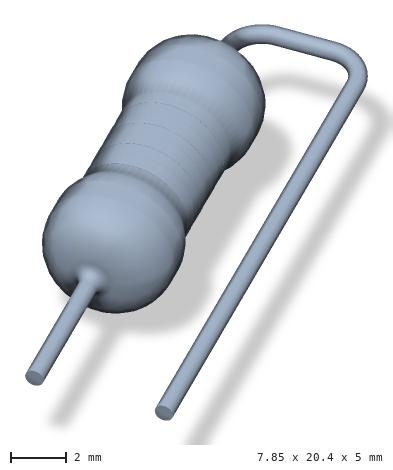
import cadquery as cq
import math


body_length = 12.0
bulge_radius = 2.5
waist_radius = 4.25 / 2
end_round = 1.75
bulge_land = 0.8
neck_length = 1.42

band_count = 4
band_radius = 4.27 / 2

lead_radius = 0.35
lead_pitch = 5.0
lead_fillet = 0.5
front_lead = 5.6
bend_radius = 1.4
bend_standoff = 1.0

half_length = body_length / 2
land_outer = half_length - end_round
land_inner = land_outer - bulge_land
waist_half = land_inner - neck_length
neck_drop = bulge_radius - waist_radius
neck_radius = (neck_length**2 + neck_drop**2) / (4 * neck_drop)
neck_middle_y = (land_inner + waist_half) / 2
neck_middle_radius = (bulge_radius + waist_radius) / 2
tip_y = -half_length - front_lead
bend_start_y = half_length + bend_standoff

round_center_radius = bulge_radius - end_round
flare_center_radius = lead_radius + lead_fillet
center_distance = end_round + lead_fillet
center_offset = flare_center_radius - round_center_radius
flare_end_y = land_outer + math.sqrt(center_distance**2 - center_offset**2)
touch_fraction = end_round / center_distance
touch_radius = round_center_radius + center_offset * touch_fraction
touch_y = land_outer + (flare_end_y - land_outer) * touch_fraction


def cylinder_along_y(radius, start_y, end_y):
    base = cq.Workplane("XZ", origin=(0, start_y, 0))
    return base.circle(radius).extrude(start_y - end_y)


def make_body_end():
    """Revolve the body end from the waist to the tip of the +Y flare."""
    profile = (
        cq.Workplane("XY")
        .moveTo(0, waist_half)
        .lineTo(waist_radius, waist_half)
        .radiusArc((neck_middle_radius, neck_middle_y), neck_radius)
        .radiusArc((bulge_radius, land_inner), -neck_radius)
        .lineTo(bulge_radius, land_outer)
        .radiusArc((touch_radius, touch_y), -end_round)
        .radiusArc((lead_radius, flare_end_y), lead_fillet)
        .lineTo(0, flare_end_y)
        .close()
    )
    return profile.revolve(360, (0, 0, 0), (0, 1, 0))


def make_body():
    waist = cylinder_along_y(waist_radius, -waist_half, waist_half)
    body_end = make_body_end()
    return waist.union(body_end).union(body_end.mirror("XZ"))


def add_bands(body):
    """Add equal raised bands, spaced by gaps as wide as the bands."""
    band_width = 2 * waist_half / (2 * band_count - 1)
    for index in range(band_count):
        start_y = -waist_half + 2 * index * band_width
        body = body.union(cylinder_along_y(band_radius, start_y, start_y + band_width))
    return body


def make_bent_lead():
    """Sweep the lead out of the +Y end and back to the front tip plane."""
    top_y = bend_start_y + bend_radius
    diagonal = bend_radius * math.cos(math.radians(45))
    far_bend_x = lead_pitch - bend_radius
    path = (
        cq.Workplane("XY")
        .moveTo(0, flare_end_y)
        .lineTo(0, bend_start_y)
        .threePointArc((bend_radius - diagonal, bend_start_y + diagonal), (bend_radius, top_y))
        .lineTo(far_bend_x, top_y)
        .threePointArc((far_bend_x + diagonal, bend_start_y + diagonal), (lead_pitch, bend_start_y))
        .lineTo(lead_pitch, tip_y)
    )
    section = cq.Workplane("XZ", origin=(0, flare_end_y, 0)).circle(lead_radius)
    return section.sweep(path)


body = add_bands(make_body())
straight_lead = cylinder_along_y(lead_radius, tip_y, -flare_end_y)
result = body.union(straight_lead).union(make_bent_lead())